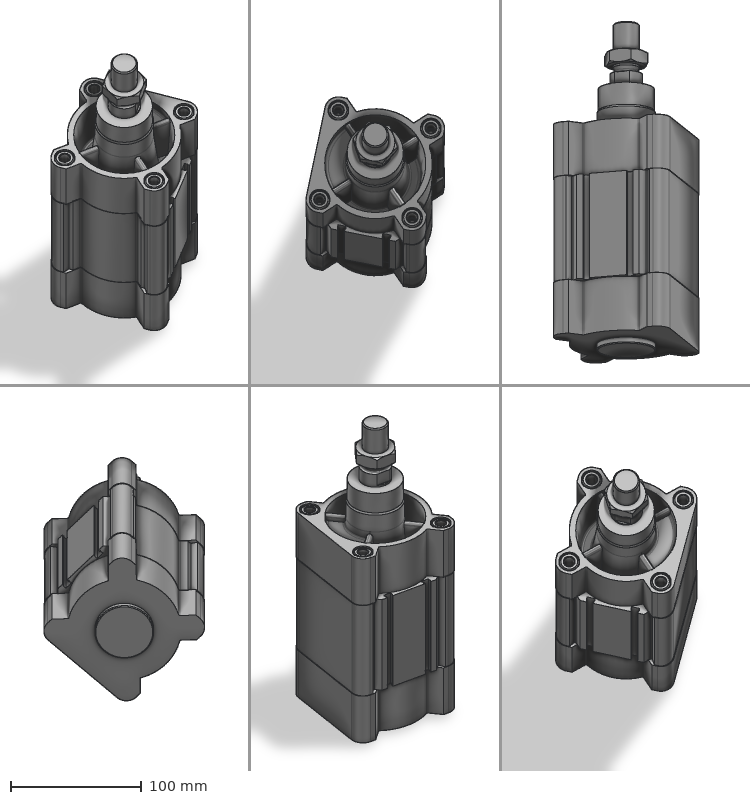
import cadquery as cq
import math

total_length = 257.5
spigot_height = 4.6
cap_height = 42.5
barrel_length = 82.5
barrel_bottom = cap_height
barrel_top = barrel_bottom + barrel_length
cap_top = barrel_top + cap_height
rod_top = total_length - spigot_height

cap_half_width = 93.0 / 2
lug_offset = 36.0
cap_wall_radius = 43.5
cap_notch_half_width = 31.5
cap_notch_fillet = 1.0
notch_inner_reach = 33.5
barrel_inset = 0.5
barrel_half_width = cap_half_width - barrel_inset
barrel_wall_radius = 43.3
barrel_notch_half_width = 32.2
barrel_notch_fillet = 1.5

groove_outer = 33.5
groove_floor_outer = 30.7
side_groove_floor_inner = 29.4
front_groove_floor_inner = 27.3
groove_floor = 41.7
slot_inner = 14.5
slot_outer = 20.5
slot_floor = 41.7
slot_lip = 0.5
slot_lip_thickness = 1.5

collar_diameter = 45.0
cavity_rim_radius = 38.6
deep_draft = math.tan(math.radians(6))
shallow_draft = math.tan(math.radians(5))
deep_cavity = 36.0
shallow_cavity = 7.0
cavity_outer_fillet = 2.3
cavity_inner_fillet = 1.5
rib_width = 4.5
rib_drop = 2.0
rib_edge_fillet = 2.3

collar_shoulder = 182.6
collar_chamfer_height = 1.5
collar_top = 201.7
collar_neck_diameter = 43.3
collar_top_diameter = 43.0
spigot_chamfer = 0.8

screw_seat_diameter = 15.7
screw_seat_depth = 2.0
screw_head_diameter = 15.0
screw_head_drop = 0.3
screw_head_chamfer = 1.0
screw_hole_diameter = 8.0
screw_hole_depth = 15.5
screw_core_diameter = 6.5
screw_core_depth = 20.5
screw_countersink = 0.5

rod_diameter = 25.0
rod_bottom = barrel_top
rod_shoulder = 213.3
flat_bottom = 203.2
across_flats = 22.0
thread_diameter = 20.0
thread_bottom = 218.5
neck_diameter = 18.3
neck_top = 215.5
neck_fillet = 0.8
rod_tip_chamfer = 1.0

nut_bottom = 220.0
nut_height = 10.3
nut_across_flats = 30.0
nut_face_diameter = 30.0
nut_chamfer_angle = 30

OVERCUT = 2.5


def turned(points):
    """Solid of revolution about Z from (radius, z) points."""
    return cq.Workplane("XZ").polyline(points).close().revolve(360, (0, 0), (0, 1))


def lugged_outline(half_width):
    """Square outline whose corners are round about the screw axes."""
    return cq.Sketch().rect(2 * half_width, 2 * half_width).vertices().fillet(half_width - lug_offset)


def prism(sketch, bottom, height):
    return cq.Workplane("XY", origin=(0, 0, bottom)).placeSketch(sketch).extrude(height)


def polygon_prism(points, bottom, height):
    return cq.Workplane("XY", origin=(0, 0, bottom)).polyline(points).close().extrude(height)


def turned_to_side(solid, angle):
    """Turn a feature of the -Y side to another side."""
    return solid.rotate((0, 0, 0), (0, 0, 1), angle)


def side_notch(bottom, height, half_width, wall_radius, fillet):
    """Cutter on the -Y side that leaves the round wall between two lugs."""
    outer = cap_half_width + OVERCUT
    outer_half = half_width + OVERCUT
    inner_half = half_width - (cap_half_width - notch_inner_reach)
    points = [
        (-outer_half, -outer),
        (outer_half, -outer),
        (inner_half, -notch_inner_reach),
        (-inner_half, -notch_inner_reach),
    ]
    wall = cq.Workplane("XY", origin=(0, 0, bottom)).circle(wall_radius).extrude(height)
    cutter = polygon_prism(points, bottom, height).cut(wall)
    return cutter.edges("|Z").edges(">Y").fillet(fillet)


def end_cap(bottom):
    cap = prism(lugged_outline(cap_half_width), bottom, cap_height)
    notch = side_notch(bottom, cap_height, cap_notch_half_width, cap_wall_radius, cap_notch_fillet)
    for angle in (-90, 0, 90):
        cap = cap.cut(turned_to_side(notch, angle))
    return cap


def lug_grooves(floor_inner):
    """Pair of flared grooves beside the lugs of the -Y side."""
    depth = barrel_half_width - groove_floor
    points = [
        (groove_outer, -barrel_half_width),
        (groove_floor_outer, -groove_floor),
        (floor_inner, -groove_floor),
        (floor_inner - depth, -barrel_half_width),
    ]
    groove = polygon_prism(points, barrel_bottom, barrel_length)
    return groove.union(groove.mirror("YZ"))


def sensor_slots():
    """Pair of slots with narrow lips at the mouth, on the -Y side."""
    lip_inside = barrel_half_width - slot_lip_thickness
    points = [
        (slot_inner + slot_lip, -barrel_half_width),
        (slot_inner + slot_lip, -lip_inside),
        (slot_inner, -lip_inside),
        (slot_inner, -slot_floor),
        (slot_outer, -slot_floor),
        (slot_outer, -lip_inside),
        (slot_outer - slot_lip, -lip_inside),
        (slot_outer - slot_lip, -barrel_half_width),
    ]
    slot = polygon_prism(points, barrel_bottom, barrel_length)
    return slot.union(slot.mirror("YZ"))


def barrel():
    body = prism(lugged_outline(barrel_half_width), barrel_bottom, barrel_length)
    notch = side_notch(
        barrel_bottom, barrel_length, barrel_notch_half_width, barrel_wall_radius, barrel_notch_fillet
    )
    body = body.cut(notch)
    body = body.cut(lug_grooves(front_groove_floor_inner))
    for angle in (-90, 90):
        body = body.cut(turned_to_side(lug_grooves(side_groove_floor_inner), angle))
        body = body.cut(turned_to_side(sensor_slots(), angle))
    return body


def cavity_ring(depth, draft):
    """Drafted ring pocket around the collar."""
    collar_radius = collar_diameter / 2
    floor = cap_top - depth
    profile = (
        cq.Sketch()
        .polygon([
            (collar_radius, cap_top),
            (cavity_rim_radius, cap_top),
            (cavity_rim_radius - depth * draft, floor),
            (collar_radius + depth * draft, floor),
            (collar_radius, cap_top),
        ])
        .vertices("<Y").vertices(">X")
        .fillet(cavity_outer_fillet)
        .reset()
        .vertices("<Y").vertices("<X")
        .fillet(cavity_inner_fillet)
    )
    return cq.Workplane("XZ").placeSketch(profile).revolve(360, (0, 0), (0, 1))


def cavity():
    """Ring pocket that is shallow in the +Y quarter and deep in the other three."""
    reach = 2 * cavity_rim_radius
    quarter = polygon_prism([(0, 0), (reach, reach), (-reach, reach)], cap_top - deep_cavity, deep_cavity)
    deep_part = cavity_ring(deep_cavity, deep_draft).cut(quarter)
    return deep_part.union(cavity_ring(shallow_cavity, shallow_draft).intersect(quarter))


def cavity_rib(angle):
    """Drafted rib with a rounded crest, from the collar to the outer wall."""
    height = deep_cavity - rib_drop
    top = cap_top - rib_drop
    half_top = rib_width / 2
    half_base = half_top + height * deep_draft
    start = collar_diameter / 2 - OVERCUT
    length = cavity_rim_radius + OVERCUT - start
    points = [(-half_base, top - height), (half_base, top - height), (half_top, top), (-half_top, top)]
    rib = cq.Workplane("YZ", origin=(start, 0, 0)).polyline(points).close().extrude(length)
    rib = rib.faces(">Z").edges("|X").fillet(rib_edge_fillet)
    return rib.rotate((0, 0, 0), (0, 0, 1), angle)


def collar_and_spigot():
    collar_radius = collar_diameter / 2
    return turned([
        (0, -spigot_height),
        (collar_radius - spigot_chamfer, -spigot_height),
        (collar_radius, -spigot_height + spigot_chamfer),
        (collar_radius, collar_shoulder),
        (collar_neck_diameter / 2, collar_shoulder + collar_chamfer_height),
        (collar_top_diameter / 2, collar_top),
        (0, collar_top),
    ])


def at_lugs(radius, top, depth):
    """Cylinders on the four screw axes, going down from a height."""
    spacing = 2 * lug_offset
    plane = cq.Workplane("XY", origin=(0, 0, top)).rarray(spacing, spacing, 2, 2)
    return plane.circle(radius).extrude(-depth)


def with_screws(body):
    head_top = cap_top - screw_head_drop
    hole_radius = screw_hole_diameter / 2
    heads = at_lugs(screw_head_diameter / 2, head_top, screw_seat_depth - screw_head_drop)
    heads = heads.faces(">Z").edges().chamfer(screw_head_chamfer)
    body = body.cut(at_lugs(screw_seat_diameter / 2, cap_top, screw_seat_depth)).union(heads)
    spacing = 2 * lug_offset
    countersinks = (
        cq.Workplane("XY", origin=(0, 0, head_top))
        .rarray(spacing, spacing, 2, 2)
        .circle(hole_radius + screw_countersink)
        .extrude(-screw_countersink, taper=45)
    )
    body = body.cut(at_lugs(hole_radius, head_top, screw_hole_depth)).cut(countersinks)
    return body.cut(at_lugs(screw_core_diameter / 2, head_top, screw_core_depth))


def make_housing():
    body = end_cap(0).union(barrel()).union(end_cap(barrel_top))
    body = body.cut(cavity())
    for angle in (45, 135, 225, 315):
        body = body.union(cavity_rib(angle))
    body = body.union(collar_and_spigot())
    body = with_screws(body)
    bore = cq.Workplane("XY", origin=(0, 0, rod_bottom)).circle(rod_diameter / 2)
    return body.cut(bore.extrude(collar_top - rod_bottom))


def make_rod():
    rod_radius = rod_diameter / 2
    thread_radius = thread_diameter / 2
    neck_radius = neck_diameter / 2
    rod = (
        cq.Workplane("XZ")
        .moveTo(0, rod_bottom)
        .lineTo(rod_radius, rod_bottom)
        .lineTo(rod_radius, rod_shoulder)
        .lineTo(neck_radius + neck_fillet, rod_shoulder)
        .radiusArc((neck_radius, rod_shoulder + neck_fillet), neck_fillet)
        .lineTo(neck_radius, neck_top)
        .lineTo(thread_radius, thread_bottom)
        .lineTo(thread_radius, rod_top - rod_tip_chamfer)
        .lineTo(thread_radius - rod_tip_chamfer, rod_top)
        .lineTo(0, rod_top)
        .close()
        .revolve(360, (0, 0), (0, 1))
    )
    for side in (-1, 1):
        flat = cq.Workplane("XY").box(rod_diameter, rod_diameter, rod_shoulder - flat_bottom)
        center = side * (across_flats + rod_diameter) / 2
        rod = rod.cut(flat.translate((center, 0, (rod_shoulder + flat_bottom) / 2)))
    return rod


def make_nut():
    """Hexagon nut with flats on +-X and both faces chamfered."""
    corner_diameter = nut_across_flats / math.cos(math.radians(30))
    chamfer_height = (corner_diameter - nut_face_diameter) / 2 * math.tan(math.radians(nut_chamfer_angle))
    nut_top = nut_bottom + nut_height
    blank = turned([
        (0, nut_bottom),
        (nut_face_diameter / 2, nut_bottom),
        (corner_diameter / 2, nut_bottom + chamfer_height),
        (corner_diameter / 2, nut_top - chamfer_height),
        (nut_face_diameter / 2, nut_top),
        (0, nut_top),
    ])
    plane = cq.Workplane("XY", origin=(0, 0, nut_bottom))
    hexagon = plane.polygon(6, corner_diameter).extrude(nut_height).rotate((0, 0, 0), (0, 0, 1), 30)
    bore = plane.circle(thread_diameter / 2).extrude(nut_height)
    return hexagon.intersect(blank).cut(bore)


housing = make_housing()
rod = make_rod()
nut = make_nut()

result = cq.Compound.makeCompound([housing.val(), rod.val(), nut.val()])